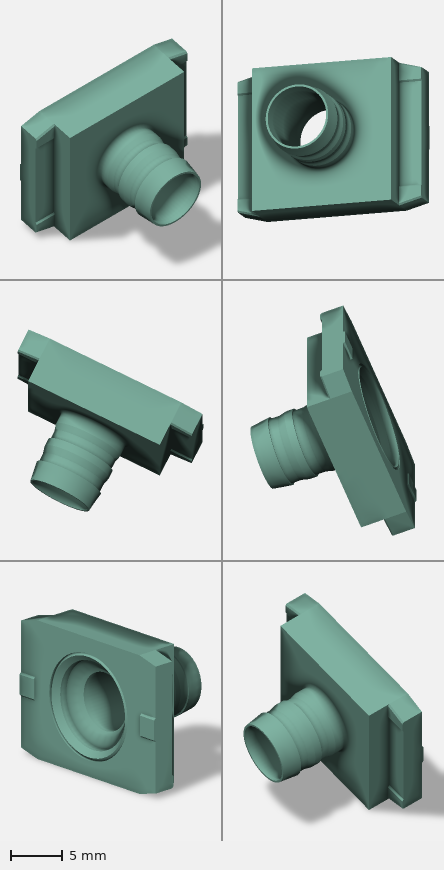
import cadquery as cq

block_size = 14.3
block_depth = 4.72
overall_width = 18.9
wing_depth = 2.23
wing_edge_drop = 0.6
half_block = block_size / 2
half_width = overall_width / 2
wing_reach = half_width - half_block
wing_end_z = half_block - wing_edge_drop

strip_height = 0.17
strip_inner_z = 5.18

pad_length = 2.0
pad_width = 2.45
pad_height = 0.19

barb_radius = 3.5
neck_radius = 3.3
tip_radius = 3.21
root_fillet = 0.3
first_barb_end = 6.05
first_neck_start = 6.75
second_barb_start = 7.71
second_barb_end = 8.5
second_neck_start = 9.28
tip_barb_start = 10.25
stem_end = 12.2

bore_radius = 3.0
funnel_radius = 4.5
funnel_start = 1.38
funnel_end = 2.27

seal_radius = 5.5
seal_depth = 0.87
seal_lip_radius = 5.18
seal_inner_radius = 4.57
seal_lip_bevel = seal_radius - seal_lip_radius
seal_mouth_depth = seal_lip_radius - seal_inner_radius


def revolve_about_x(points):
    """Turn an outline of (x, radius) points around the X axis."""
    return cq.Workplane("XY").polyline(points).close().revolve(360, (0, 0, 0), (1, 0, 0))


def make_strip(side, end):
    """Strip along a sloping wing edge, bevelled on both long edges and rooted in the wing."""
    strip = (
        cq.Workplane("YZ")
        .polyline([
            (side * half_block, end * strip_inner_z),
            (side * half_width, end * strip_inner_z),
            (side * half_width, end * wing_end_z),
            (side * half_block, end * half_block),
        ])
        .close()
        .extrude(wing_depth + strip_height)
    )
    return strip.faces(">X").edges(">Z or <Z").chamfer(strip_height)


def make_wing(side):
    """Tapered wing with its two strips and its front pad."""
    wing = (
        cq.Workplane("YZ")
        .polyline([
            (side * half_block, -half_block),
            (side * half_width, -wing_end_z),
            (side * half_width, wing_end_z),
            (side * half_block, half_block),
        ])
        .close()
        .extrude(wing_depth)
    )
    for end in (-1, 1):
        wing = wing.union(make_strip(side, end))
    return wing.union(make_pad(side))


def make_pad(side):
    """Front pad with sloping upper and lower flanks."""
    half_base = pad_width / 2
    half_top = half_base - pad_height
    pad = (
        cq.Workplane("XZ")
        .polyline([(0, -half_base), (-pad_height, -half_top), (-pad_height, half_top), (0, half_base)])
        .close()
        .extrude(pad_length / 2, both=True)
    )
    return pad.translate((0, side * (half_width - pad_length / 2), 0))


def make_stem():
    """Stem with two barbs, a tapered tip and a concave fillet at the root."""
    root_end = block_depth + root_fillet
    fillet_reach = root_fillet * (1 - 0.5 ** 0.5)
    return (
        cq.Workplane("XY")
        .moveTo(block_depth, 0)
        .lineTo(block_depth, barb_radius + root_fillet)
        .threePointArc(
            (block_depth + fillet_reach, barb_radius + fillet_reach),
            (root_end, barb_radius),
        )
        .lineTo(first_barb_end, barb_radius)
        .lineTo(first_neck_start, neck_radius)
        .lineTo(second_barb_start, neck_radius)
        .lineTo(second_barb_start, barb_radius)
        .lineTo(second_barb_end, barb_radius)
        .lineTo(second_neck_start, neck_radius)
        .lineTo(tip_barb_start, neck_radius)
        .lineTo(tip_barb_start, barb_radius)
        .lineTo(stem_end, tip_radius)
        .lineTo(stem_end, 0)
        .close()
        .revolve(360, (0, 0, 0), (1, 0, 0))
    )


def make_bore():
    """Seal seat, short tapered throat, funnel and straight bore."""
    return revolve_about_x([
        (0, 0),
        (0, seal_radius),
        (seal_depth, seal_radius),
        (seal_depth, seal_inner_radius),
        (funnel_start, funnel_radius),
        (funnel_end, bore_radius),
        (stem_end, bore_radius),
        (stem_end, 0),
    ])


def make_housing():
    """Block with wings and hollow barbed stem."""
    housing = cq.Workplane("YZ").rect(block_size, block_size).extrude(block_depth)
    for side in (-1, 1):
        housing = housing.union(make_wing(side))
    return housing.union(make_stem()).cut(make_bore())


def make_seal():
    """Seal ring with a sharp front lip, bevelled outside and conical inside."""
    return revolve_about_x([
        (0, seal_lip_radius),
        (seal_lip_bevel, seal_radius),
        (seal_depth, seal_radius),
        (seal_depth, seal_inner_radius),
        (seal_mouth_depth, seal_inner_radius),
    ])


housing = make_housing()
seal = make_seal()
result = cq.Compound.makeCompound([housing.val(), seal.val()])